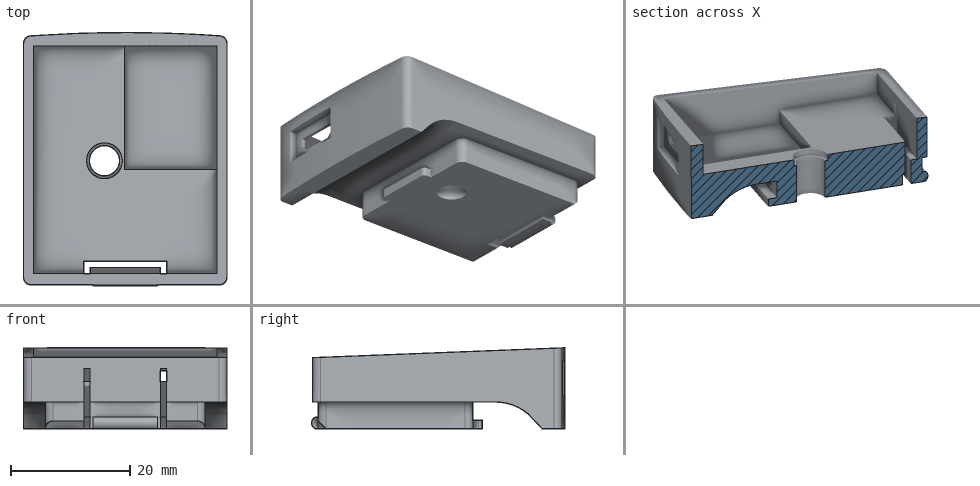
import cadquery as cq
import math

width = 34.2
side_depth = 41.8
back_bow = 0.65
depth = side_depth + back_bow
front_height = 11.95
back_height = 13.65
corner_radius = 1.3
shell_bottom = 4.47

foot_curve_start = 30.8
foot_curve_radius = 8.4
foot_curve_angle = math.radians(40)
foot_toe = 38.6

wall = 1.65
cavity_front = 1.9
cavity_back = 40.15
floor_height = 7.95
cavity_right = width / 2 - wall
low_floor_height = 5.4
low_floor_left = -0.1
low_floor_front = 19.4

plug_width = 26.87
plug_front = 0.95
plug_back = 26.95
plug_chamfer = 1.3
tab_width = 11.07
tab_length = 1.58
tab_height = 1.45
tab_radius = 0.7

clip_width = 11.85
slit_width = 1.02
slit_top = 10.1
clip_back = 2.95
clip_gap_back = 3.95
clip_gap_width = clip_width + 2 * slit_width
relief_height = 1.95
relief_depth = 0.43

catch_width = 10.9
catch_reach = 0.15
catch_height = 1.95
catch_nose = 0.65

hole_x = -3.5
hole_y = 20.85
hole_diameter = 5.03
counterbore_diameter = 6.0
counterbore_depth = 1.1

window_left = 4.05
window_right = 11.75
window_bottom = 7.2
window_top = 9.7
window_chamfer = 1.0
window_lip = 0.65
recess_margin = 1.7


def box(x0, x1, y0, y1, z0, z1):
    """Axis-aligned block between opposite corners."""
    return cq.Workplane("XY").box(x1 - x0, y1 - y0, z1 - z0, centered=False).translate((x0, y0, z0))


def centred_box(x_width, y0, y1, z0, z1):
    """Block symmetric about the YZ plane."""
    return box(-x_width / 2, x_width / 2, y0, y1, z0, z1)


def make_shell():
    """Rounded plan with a bowed back, trimmed to the sloping side profile."""
    half = width / 2
    plan = (
        cq.Workplane("XY")
        .moveTo(-half, 0)
        .lineTo(half, 0)
        .lineTo(half, side_depth)
        .threePointArc((0, depth), (-half, side_depth))
        .close()
        .extrude(back_height)
        .edges("|Z")
        .fillet(corner_radius)
    )
    curve_centre_z = shell_bottom - foot_curve_radius

    def curve_point(angle):
        return (
            foot_curve_start + foot_curve_radius * math.sin(angle),
            curve_centre_z + foot_curve_radius * math.cos(angle),
        )

    profile = (
        cq.Workplane("YZ")
        .moveTo(0, shell_bottom)
        .lineTo(foot_curve_start, shell_bottom)
        .threePointArc(curve_point(foot_curve_angle / 2), curve_point(foot_curve_angle))
        .lineTo(foot_toe, 0)
        .lineTo(depth, 0)
        .lineTo(depth, back_height)
        .lineTo(0, front_height)
        .close()
        .extrude(half, both=True)
    )
    return plan.intersect(profile)


def make_plug():
    """Rounded block with a chamfered front lower edge and a rear tab."""
    block = centred_box(plug_width, plug_front, plug_back, 0, shell_bottom)
    block = block.edges("|Z").fillet(corner_radius)
    chamfer = (
        cq.Workplane("YZ")
        .moveTo(plug_front, 0)
        .lineTo(plug_front + plug_chamfer, 0)
        .lineTo(plug_front, plug_chamfer)
        .close()
        .extrude(plug_width / 2, both=True)
    )
    tab_back = plug_back + tab_length
    tab = centred_box(tab_width, plug_back - tab_radius, tab_back, 0, tab_height)
    tab = tab.edges("|Z and >Y").fillet(tab_radius)
    return block.cut(chamfer).union(tab)


def make_cavity():
    """Open tray with a deeper rectangular area at the back right."""
    upper = box(-cavity_right, cavity_right, cavity_front, cavity_back, floor_height, back_height)
    lower = box(low_floor_left, cavity_right, low_floor_front, cavity_back, low_floor_height, back_height)
    return upper.union(lower)


def make_clip_gap():
    """Space behind the clip, a relief at its foot and the two side slits."""
    gap = centred_box(clip_gap_width, cavity_front, clip_gap_back, 0, floor_height)
    relief = centred_box(clip_gap_width, cavity_front, clip_gap_back + relief_depth, 0, relief_height)
    gap = gap.union(relief)
    gap = gap.union(centred_box(clip_gap_width, 0, cavity_front, 0, shell_bottom))
    for inner_x in (-clip_width / 2 - slit_width, clip_width / 2):
        gap = gap.union(box(inner_x, inner_x + slit_width, 0, clip_gap_back, 0, slit_top))
    return gap


def make_clip():
    """Clip tongue with its rounded catch bar."""
    tongue = centred_box(clip_width, plug_front, clip_back, 0, shell_bottom)
    nose_start = catch_nose - catch_reach
    bar = (
        cq.Workplane("YZ")
        .moveTo(clip_back, 0)
        .lineTo(nose_start, 0)
        .threePointArc((-catch_reach, catch_height / 2), (nose_start, catch_height))
        .lineTo(clip_back, catch_height)
        .close()
        .extrude(catch_width / 2, both=True)
    )
    return tongue.union(bar)


def make_hole():
    """Through hole with a counterbore in the cavity floor."""
    axis = cq.Workplane("XY").center(hole_x, hole_y)
    bore = axis.circle(hole_diameter / 2).extrude(floor_height)
    counterbore = (
        axis.workplane(offset=floor_height - counterbore_depth)
        .circle(counterbore_diameter / 2)
        .extrude(counterbore_depth)
    )
    return bore.union(counterbore)


def make_window():
    """Connector opening with both lower corners cut off, recessed from outside."""
    opening = box(window_left, window_right, cavity_back, depth, window_bottom, window_top)
    opening = opening.edges("|Y and <Z").chamfer(window_chamfer)
    recess = box(
        window_left - recess_margin,
        window_right + recess_margin,
        cavity_back + window_lip,
        depth,
        window_bottom - recess_margin,
        window_top + recess_margin,
    )
    return opening.union(recess)


result = make_shell().union(make_plug())
for cutter in (make_cavity(), make_clip_gap(), make_hole(), make_window()):
    result = result.cut(cutter)
result = result.union(make_clip())